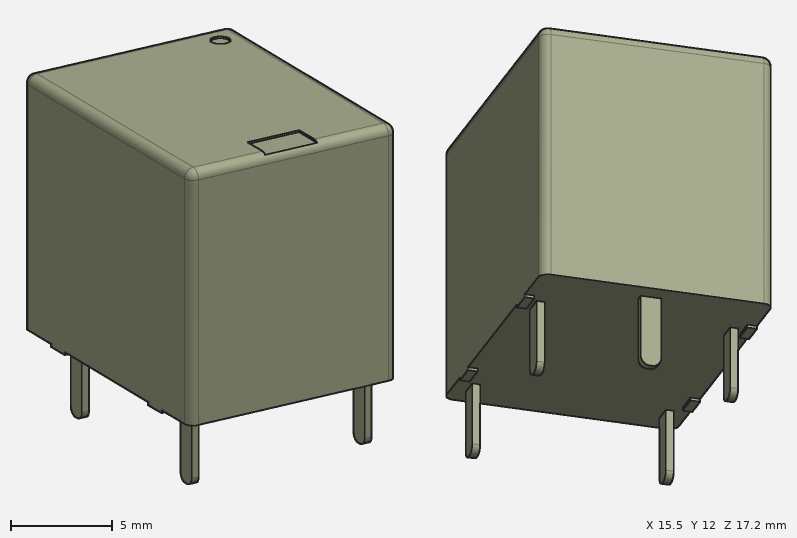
import cadquery as cq

LENGTH = 15.5
DEPTH = 12.0
TOTAL_HEIGHT = 17.2

PIN_LENGTH = 3.7
CASE_HEIGHT = TOTAL_HEIGHT - PIN_LENGTH
EDGE_RADIUS = 0.5

FOOT_LENGTH = 1.27
FOOT_DEPTH = EDGE_RADIUS
FOOT_HEIGHT = 0.15
FOOT_X = 4.5

PIN_WIDTH = 1.05
PIN_THICKNESS = 0.41
TIP_RADIUS = 0.45
PIN_ROW_Y = 5.0
LEFT_PIN_X = -4.06
RIGHT_PIN_X = 6.14
COMMON_PIN_X = -6.54

DOT_DIAMETER = 1.0
DOT_INSET = 1.53
DOT_DEPTH = 0.1
NOTCH_LENGTH = 1.85
NOTCH_WIDTH = 3.0
NOTCH_DEPTH = 0.1


def make_case():
    """Block with its bottom face on Z = 0, rounded on every edge but the bottom ones."""
    block = cq.Workplane("XY").box(LENGTH, DEPTH, CASE_HEIGHT, centered=(True, True, False))
    return block.edges("|Z or >Z").fillet(EDGE_RADIUS)


def make_foot(x, side):
    """Low pad reaching out to the front (side -1) or back (side 1) face of the case."""
    y = side * (DEPTH - FOOT_DEPTH) / 2
    foot = cq.Workplane("XY").box(FOOT_LENGTH, FOOT_DEPTH, FOOT_HEIGHT)
    return foot.translate((x, y, -FOOT_HEIGHT / 2))


def make_pin():
    """Pin hanging from Z = 0 on the Z axis, wide along X and thin along Y."""
    pin = cq.Workplane("XY").box(PIN_WIDTH, PIN_THICKNESS, PIN_LENGTH)
    pin = pin.edges("|Y and <Z").fillet(TIP_RADIUS)
    return pin.translate((0, 0, -PIN_LENGTH / 2))


def make_dot():
    """Cutter for the round mark near the back left corner of the top."""
    return (
        cq.Workplane("XY")
        .workplane(offset=CASE_HEIGHT - DOT_DEPTH)
        .center(DOT_INSET - LENGTH / 2, DEPTH / 2 - DOT_INSET)
        .circle(DOT_DIAMETER / 2)
        .extrude(DOT_DEPTH)
    )


def make_notch():
    """Cutter for the rectangular recess that opens through the right top edge."""
    notch = cq.Workplane("XY").box(NOTCH_LENGTH, NOTCH_WIDTH, NOTCH_DEPTH)
    return notch.translate(((LENGTH - NOTCH_LENGTH) / 2, 0, CASE_HEIGHT - NOTCH_DEPTH / 2))


result = make_case().cut(make_dot()).cut(make_notch())

for side in (-1, 1):
    for foot_x in (-FOOT_X, FOOT_X):
        result = result.union(make_foot(foot_x, side))
    for pin_x in (LEFT_PIN_X, RIGHT_PIN_X):
        result = result.union(make_pin().translate((pin_x, side * PIN_ROW_Y, 0)))

common_pin = make_pin().rotate((0, 0, 0), (0, 0, 1), 90)
result = result.union(common_pin.translate((COMMON_PIN_X, 0, 0)))